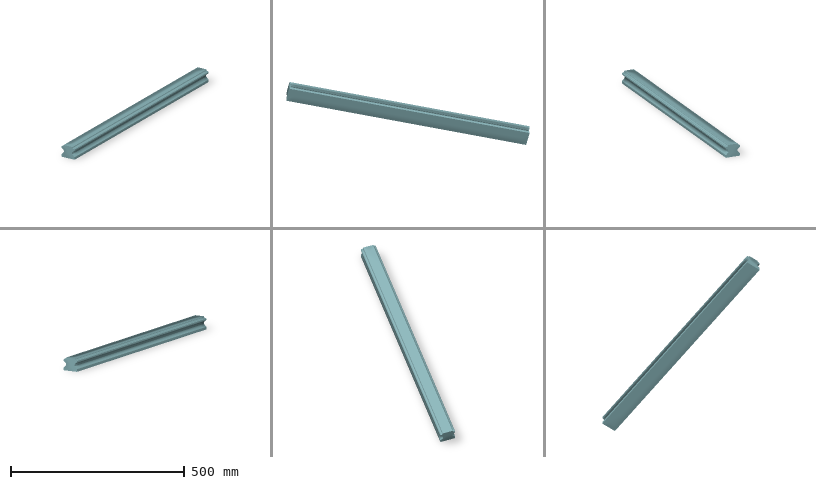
import cadquery as cq

rail_width = 45.0
rail_length = 710.0
rail_height = 38.0
half_width = rail_width / 2

nose_top_z = 31.5
nose_bottom_z = 27.4
nose_chamfer = 1.9

groove_inner_x = 15.3
groove_outer_x = half_width - nose_chamfer
upper_groove_sag = 1.8
lower_groove_sag = 0.8
top_chamfer = 0.7

waist_half_width = 14.5
waist_top_z = 21.1
base_edge_height = 7.7
waist_bottom_z = base_edge_height + half_width - waist_half_width


def half_profile():
    """Right half of the cross-section, open along the centre plane."""
    upper_groove_inner = (groove_inner_x, rail_height - top_chamfer)
    upper_groove_outer = (groove_outer_x, nose_top_z + nose_chamfer)
    lower_groove_outer = (groove_outer_x, nose_bottom_z - nose_chamfer)
    lower_groove_inner = (groove_inner_x, waist_top_z)
    return (
        cq.Workplane("XZ")
        .moveTo(0, rail_height)
        .lineTo(groove_inner_x - top_chamfer, rail_height)
        .lineTo(*upper_groove_inner)
        .sagittaArc(upper_groove_outer, -upper_groove_sag)
        .lineTo(half_width, nose_top_z)
        .lineTo(half_width, nose_bottom_z)
        .lineTo(*lower_groove_outer)
        .sagittaArc(lower_groove_inner, -lower_groove_sag)
        .lineTo(waist_half_width, waist_top_z)
        .lineTo(waist_half_width, waist_bottom_z)
        .lineTo(half_width, base_edge_height)
        .lineTo(half_width, 0)
        .lineTo(0, 0)
    )


result = half_profile().mirrorY().extrude(-rail_length)